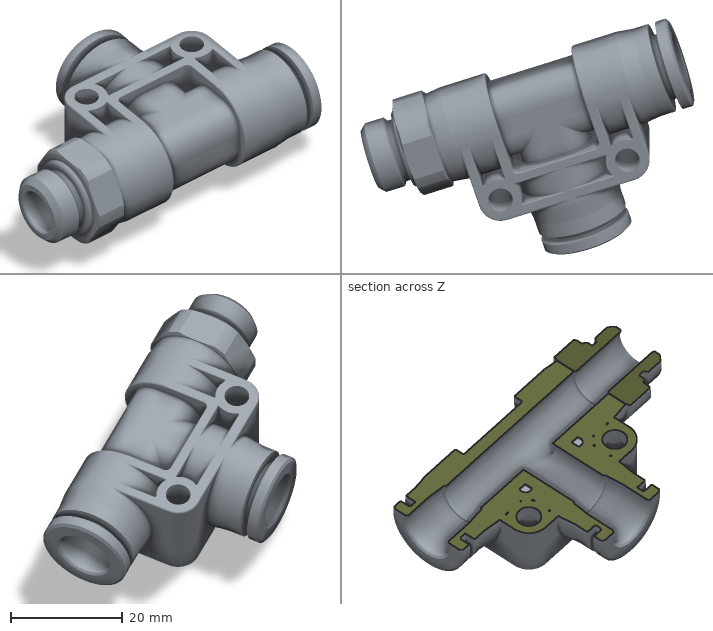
import cadquery as cq

body_radius = 8.615
socket_radius = 8.25
pipe_width = 13.05
pipe_corner = 4.6
bore_radius = 4.3

shoulder_reach = 8.2
sleeve_reach = 16.7
taper_reach = 19.75
groove_inner_reach = 22.45
groove_outer_reach = 23.95
socket_reach = 26.1

groove_radius = 6.05
groove_relief = 0.25
rim_chamfer = 0.6
rim_chamfer_length = 0.35
tube_radius = 4.95
tube_depth = 6.25
tube_stop_depth = 10.0
tube_stop_radius = 4.6
mouth_chamfer = 0.35

plate_reach = 16.0
plate_corner = 4.0
plate_edge_round = 0.3
rim_round = 0.2
plate_hole_radius = 2.205
plate_hole_place = plate_reach - plate_corner
boss_radius = 3.9
web_thickness = 2.0
inner_corner = 1.0
base_round = 0.25
slot_near = 9.95
slot_far = 14.025
slot_half_length = 8.65
rib_pocket_depth = 8.6
rib_pocket_near = 10.0
rib_pocket_far = 14.25
selection_margin = 0.05

hex_flats = 17.0
hex_corner_radius = 9.2
hex_length = 5.95
hex_chamfer = 0.25
seal_radius = 7.3
seal_length = 0.8
seal_round = 0.75
neck_radius = 5.7
thread_radius = 6.45
thread_start_reach = 28.15
thread_start_chamfer = 0.5
thread_end_chamfer = 1.05
stud_reach = 58.8 - socket_reach
stud_bore_radius = 4.0
stud_mouth_chamfer = 0.25


def revolve_on_y(points):
    """Solid of revolution about Y from (radius, y) points."""
    return cq.Workplane("XY").polyline(points).close().revolve(360, (0, 0, 0), (0, 1, 0))


def to_branch(arm):
    """Turn an arm that points toward +Y so that it points toward -X."""
    return arm.rotate((0, 0, 0), (0, 0, 1), 90)


def cylinder_on_y(radius, start, end):
    return cq.Workplane("XZ", origin=(0, end, 0)).circle(radius).extrude(end - start)


def sleeve_points():
    """Thick sleeve and taper, as (radius, y) points starting on the axis."""
    return [
        (0, shoulder_reach),
        (body_radius - rim_round, shoulder_reach),
        (body_radius, shoulder_reach + rim_round),
        (body_radius, sleeve_reach),
        (socket_radius, taper_reach),
    ]


def plain_arm():
    return revolve_on_y(sleeve_points() + [(0, taper_reach)])


def push_in_arm():
    return revolve_on_y(
        sleeve_points()
        + [
            (socket_radius, groove_inner_reach),
            (groove_radius, groove_inner_reach),
            (groove_radius, groove_outer_reach - groove_relief),
            (groove_radius + groove_relief, groove_outer_reach),
            (socket_radius, groove_outer_reach),
            (socket_radius, socket_reach - rim_chamfer_length),
            (socket_radius - rim_chamfer, socket_reach),
            (0, socket_reach),
        ]
    )


def socket_bore():
    """Stepped hole of a push-in arm, from the tee centre to the rim."""
    stop = socket_reach - tube_stop_depth
    return revolve_on_y(
        [
            (0, 0),
            (bore_radius, 0),
            (bore_radius, stop),
            (tube_stop_radius, stop),
            (tube_radius, socket_reach - tube_depth),
            (tube_radius, socket_reach - mouth_chamfer),
            (tube_radius + mouth_chamfer, socket_reach),
            (0, socket_reach),
        ]
    )


def slim_pipe(length):
    """Rounded square bar from the tee centre toward +Y."""
    bar = cq.Workplane("XZ").rect(pipe_width, pipe_width).extrude(-length)
    return bar.edges("|Y").fillet(pipe_corner)


def slim_pipes():
    """Middle of the tee, where the run and the branch meet in mitred edges."""
    run = slim_pipe(2 * shoulder_reach).translate((0, -shoulder_reach, 0))
    return run.union(to_branch(slim_pipe(shoulder_reach)))


def upright_box(x_min, x_max, y_min, y_max):
    """Box through the full height of the plate."""
    return (
        cq.Workplane("XY", origin=(0, 0, -body_radius))
        .moveTo((x_min + x_max) / 2, (y_min + y_max) / 2)
        .rect(x_max - x_min, y_max - y_min)
        .extrude(2 * body_radius)
    )


def plate_cylinders(radius):
    """Upright cylinders at the two mounting hole places."""
    return (
        cq.Workplane("XY", origin=(0, 0, -body_radius))
        .pushPoints([(-plate_hole_place, plate_hole_place), (-plate_hole_place, -plate_hole_place)])
        .circle(radius)
        .extrude(2 * body_radius)
    )


def plate_pockets():
    """Hollows of the plate, open at the top and bottom with a web between."""
    pockets = upright_box(-slot_far, -slot_near, -slot_half_length, slot_half_length)
    for side in (1, -1):
        near, far = sorted((side * rib_pocket_near, side * rib_pocket_far))
        pockets = pockets.union(upright_box(-rib_pocket_depth, 0, near, far))
    pockets = pockets.cut(plate_cylinders(boss_radius))
    inner = upright_box(-shoulder_reach, 0, -shoulder_reach, shoulder_reach)
    pockets = pockets.union(inner.edges("|Z and <X").fillet(inner_corner))
    web = cq.Workplane("XY").box(4 * plate_reach, 4 * plate_reach, web_thickness)
    return pockets.cut(web)


def region(x_min, x_max, y_reach):
    """Selector for edges centred within the given X range and distance from the branch axis."""
    return cq.selectors.BoxSelector((x_min, -y_reach, -plate_reach), (x_max, y_reach, plate_reach))


def mounting_plate():
    plate = upright_box(-plate_reach, 0, -plate_reach, plate_reach)
    plate = plate.edges("|Z and <X").fillet(plate_corner)
    plate = plate.faces("<X").edges("|Y").fillet(plate_edge_round)
    plate = plate.cut(plate_pockets())

    inner_reach = shoulder_reach + selection_margin
    rib_reach = rib_pocket_far + selection_margin
    slot_side_reach = slot_far + selection_margin
    faces = plate.faces("<Z or >Z")
    inner_rims = faces.edges(region(-inner_reach, -selection_margin, inner_reach))
    rib_rims = faces.edges(region(-inner_reach, -selection_margin, rib_reach)).edges("|X")
    slot_rims = faces.edges(region(-slot_side_reach, -slot_near + selection_margin, inner_reach)).edges("|Y")
    return plate.newObject(inner_rims.add(rib_rims).add(slot_rims).vals()).fillet(rim_round)


def round_pipe_bases(housing):
    """Round the inner corners where the slim pipes meet the shoulders and the plate."""
    side = pipe_width / 2 + selection_margin
    reach = shoulder_reach
    margin = selection_margin
    selectors = [
        cq.selectors.BoxSelector((-side, y - margin, -side), (side, y + margin, side), boundingbox=True)
        for y in (-reach, reach)
    ]
    selectors.append(
        cq.selectors.BoxSelector((-reach - margin, -side, -side), (-reach + margin, side, side), boundingbox=True)
    )
    return housing.edges(selectors[0] + selectors[1] + selectors[2]).fillet(base_round)


def make_housing():
    upper_arm = push_in_arm()
    lower_arm = plain_arm().mirror("XZ")
    branch_arm = to_branch(push_in_arm())
    housing = mounting_plate().union(slim_pipes()).union(upper_arm).union(lower_arm).union(branch_arm)
    housing = round_pipe_bases(housing)
    housing = housing.cut(plate_cylinders(plate_hole_radius))
    housing = housing.cut(socket_bore()).cut(to_branch(socket_bore()))
    return housing.cut(cylinder_on_y(bore_radius, -taper_reach, 0))


def make_stud():
    """Hexagon, sealing ring, neck and thread in one piece, with its hexagon against the housing."""
    hex_end = taper_reach + hex_length
    hexagon = (
        cq.Workplane("XZ", origin=(0, -taper_reach, 0))
        .polygon(6, hex_flats, circumscribed=True)
        .extrude(hex_length)
        .rotate((0, 0, 0), (0, 1, 0), 30)
    )
    rounded_blank = cylinder_on_y(hex_corner_radius, -hex_end, -taper_reach)
    face_radius = hex_flats / 2
    rounded_blank = rounded_blank.faces("<Y or >Y").chamfer(hex_chamfer, hex_corner_radius - face_radius)
    hexagon = hexagon.intersect(rounded_blank)

    seal = cylinder_on_y(seal_radius, -hex_end - seal_length, -hex_end)
    seal = seal.faces("<Y").edges().fillet(seal_round)

    thread = revolve_on_y(
        [
            (0, -hex_end),
            (neck_radius, -hex_end),
            (neck_radius, -thread_start_reach + thread_start_chamfer),
            (thread_radius, -thread_start_reach),
            (thread_radius, -stud_reach + thread_end_chamfer),
            (thread_radius - thread_end_chamfer, -stud_reach),
            (0, -stud_reach),
        ]
    )
    bore = revolve_on_y(
        [
            (0, -taper_reach),
            (stud_bore_radius, -taper_reach),
            (stud_bore_radius, -stud_reach + stud_mouth_chamfer),
            (stud_bore_radius + stud_mouth_chamfer, -stud_reach),
            (0, -stud_reach),
        ]
    )
    return hexagon.union(seal).union(thread).cut(bore)


housing = make_housing()
stud = make_stud()

result = cq.Compound.makeCompound([housing.val(), stud.val()])